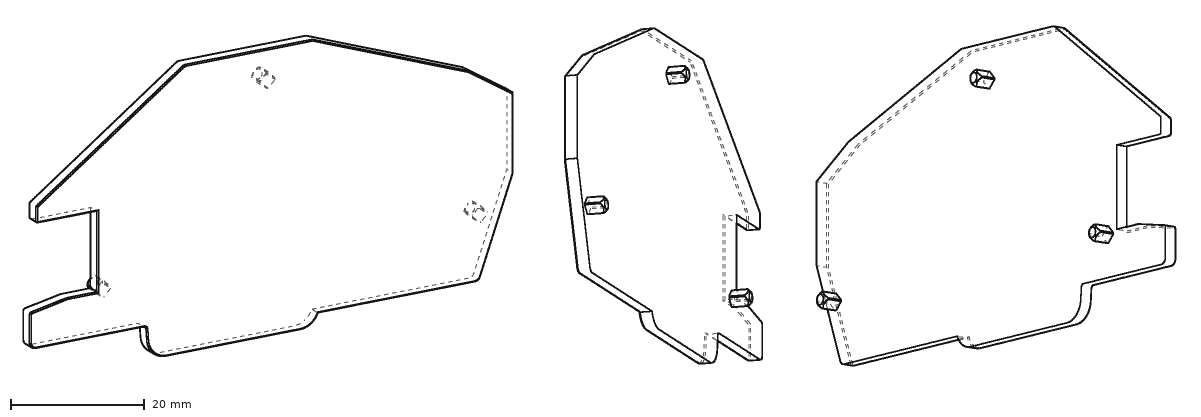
import cadquery as cq


length = 83.48
height = 45.78
plate_thickness = 2.1
outer_edge_chamfer = 0.2

sole_height = 2.1
sole_start = 5.9
rear_edge_bottom = 18.2
rear_edge_top = 31.0
shoulder_run = 7.65
shoulder_height = 35.85
roof_start = 34.65
roof_end = 56.8
brow_run = 82.4
brow_top = 27.9
brow_bottom = 25.25
outline_radius = 1.0
brow_radius = 0.4

notch_run = 71.85
notch_bottom = 12.4
tongue_slope_start = 77.0
tongue_tip_top = 11.2
tongue_tip_radius = 0.4
tongue_bottom = 5.35
tongue_toe_radius = 1.0

keel_bottom_start = 33.7
keel_bottom_end = 63.0
keel_side_lean = 0.4
keel_radius = 3.3
keel_root_radius = 0.5

pin_length = 3.0
pin_width = 2.0
pin_corner_diameter = 2.6
pin_tip_chamfer = 0.5
pin_turn = 45
lower_pin_height = 11.9
upper_pin_height = 39.95
pin_centres = [
    (4.6, lower_pin_height),
    (41.3, upper_pin_height),
    (69.7, lower_pin_height),
]


def side_plate(points):
    """Plate cut to a closed polygon of (run, height) points."""
    return cq.Workplane("YZ").polyline([(-run, z) for run, z in points]).close().extrude(plate_thickness)


def round_corners(plate, corners, radius):
    """Fillet the through-thickness edges standing at the given (run, height) corners."""
    for run, z in corners:
        edge = cq.selectors.NearestToPointSelector((plate_thickness / 2, -run, z))
        plate = plate.edges("|X").edges(edge).fillet(radius)
    return plate


def make_body():
    sole_corner = (sole_start, sole_height)
    shoulder = (shoulder_run, shoulder_height)
    roof_rear = (roof_start, height)
    roof_front = (roof_end, height)
    brow_upper = (brow_run, brow_top)
    brow_lower = (brow_run, brow_bottom)
    tongue_tip = (length, tongue_tip_top)
    tongue_toe = (length, tongue_bottom)
    body = side_plate([
        sole_corner,
        (0, rear_edge_bottom),
        (0, rear_edge_top),
        shoulder,
        roof_rear,
        roof_front,
        brow_upper,
        brow_lower,
        (notch_run, brow_bottom),
        (notch_run, notch_bottom),
        (tongue_slope_start, notch_bottom),
        tongue_tip,
        tongue_toe,
        (keel_bottom_end - keel_radius, tongue_bottom),
        (keel_bottom_end - keel_radius, sole_height),
    ])
    body = round_corners(body, [sole_corner, shoulder, roof_rear, roof_front], outline_radius)
    body = round_corners(body, [brow_upper, brow_lower], brow_radius)
    body = round_corners(body, [tongue_tip], tongue_tip_radius)
    return round_corners(body, [tongue_toe], tongue_toe_radius)


def make_keel():
    bottom_rear = (keel_bottom_start, 0)
    bottom_front = (keel_bottom_end, 0)
    keel = side_plate([
        bottom_rear,
        (keel_bottom_start - keel_side_lean, tongue_bottom),
        (keel_bottom_end + keel_side_lean, tongue_bottom),
        bottom_front,
    ])
    return round_corners(keel, [bottom_rear, bottom_front], keel_radius)


def make_plate():
    plate = make_body().union(make_keel()).clean()
    keel_root = (keel_bottom_end + keel_side_lean, tongue_bottom)
    plate = round_corners(plate, [keel_root], keel_root_radius)
    return plate.faces(">X").chamfer(outer_edge_chamfer)


def make_pin(run, z):
    bar = cq.Workplane("YZ").rect(pin_width, pin_width).extrude(-pin_length)
    bar = bar.rotate((0, 0, 0), (1, 0, 0), pin_turn)
    turned_round = cq.Workplane("YZ").circle(pin_corner_diameter / 2).extrude(-pin_length)
    turned_round = turned_round.faces("<X").chamfer(pin_tip_chamfer)
    return bar.intersect(turned_round).translate((0, -run, z))


result = make_plate()
for pin_run, pin_height in pin_centres:
    result = result.union(make_pin(pin_run, pin_height))